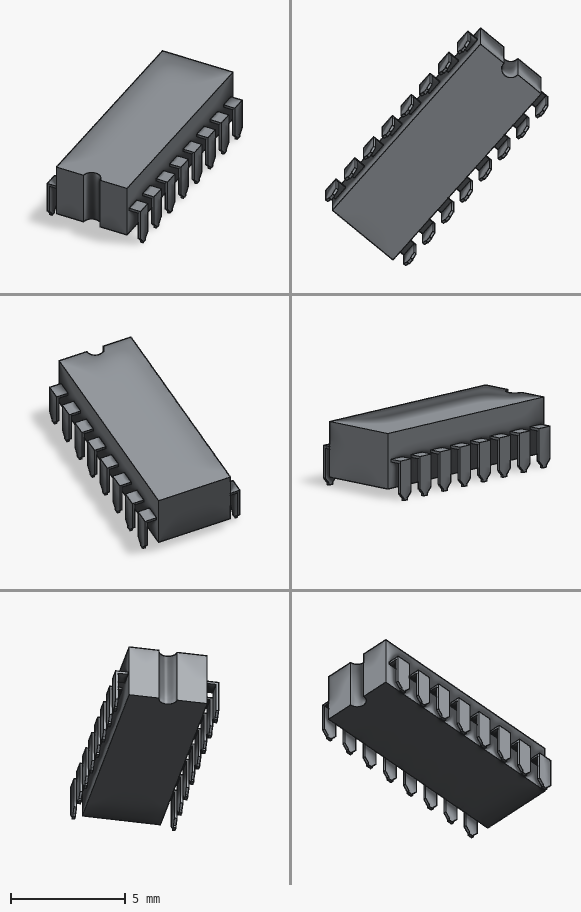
import cadquery as cq

body_length = 10.0
body_width = 3.5
body_height = 2.5
standoff = 0.5
notch_radius = 0.4

leads_per_side = 8
lead_pitch = 1.27
lead_span = 4.62
lead_thickness = 0.12
lead_top = standoff + (body_height + lead_thickness) / 2
lead_width = 0.7
taper_top = 0.34
tip_height = 0.1
tip_width = 0.25


def make_body():
    """Plain block with a half-round notch down the middle of the -Y end."""
    block = (
        cq.Workplane("XY", origin=(0, 0, standoff))
        .rect(body_width, body_length)
        .extrude(body_height)
    )
    notch = (
        cq.Workplane("XY", origin=(0, -body_length / 2, standoff))
        .circle(notch_radius)
        .extrude(body_height)
    )
    return block.cut(notch)


def make_left_lead():
    """Right-angle lead on the -X side, centred on Y = 0, with a narrowed tip."""
    outer_x = -lead_span / 2
    half_width = lead_width / 2
    half_tip = tip_width / 2
    blade = (
        cq.Workplane("YZ", origin=(outer_x, 0, 0))
        .polyline([
            (-half_tip, 0),
            (half_tip, 0),
            (half_tip, tip_height),
            (half_width, taper_top),
            (half_width, lead_top),
            (-half_width, lead_top),
            (-half_width, taper_top),
            (-half_tip, tip_height),
        ])
        .close()
        .extrude(lead_thickness)
    )
    arm_length = (lead_span - body_width) / 2
    arm = cq.Workplane("XY", origin=(outer_x, 0, lead_top - lead_thickness)).box(
        arm_length, lead_width, lead_thickness, centered=(False, True, False)
    )
    return blade.union(arm)


left_lead = make_left_lead()
right_lead = left_lead.mirror("YZ")
first_lead_y = -lead_pitch * (leads_per_side - 1) / 2

result = make_body()
for index in range(leads_per_side):
    lead_y = first_lead_y + index * lead_pitch
    for lead in (left_lead, right_lead):
        result = result.union(lead.translate((0, lead_y, 0)))